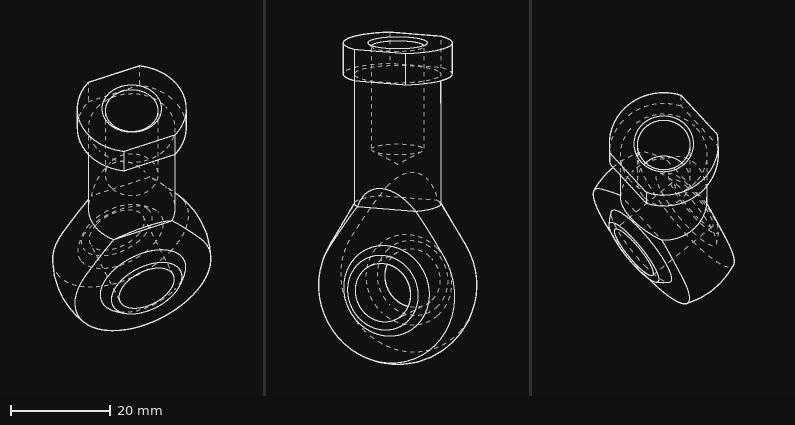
import cadquery as cq
import math

total_height = 66.0
head_diameter = 32.0
head_thickness = 12.0
neck_angle = math.radians(30)
shank_diameter = 17.5
collar_diameter = 22.05
collar_height = 6.5
collar_flats = 19.0
ball_diameter = 22.2
ball_width = 16.0
pin_bore_diameter = 12.0
thread_bore_diameter = 10.6
thread_bore_depth = 22.0
thread_mouth_diameter = 12.0
drill_tip_angle = math.radians(120)
side_clearance = 0.65

head_radius = head_diameter / 2
shank_radius = shank_diameter / 2
head_center_z = head_radius
half_thickness = head_thickness / 2

tangent_radius = head_radius * math.cos(neck_angle)
tangent_z = head_center_z + head_radius * math.sin(neck_angle)
neck_top_z = tangent_z + (tangent_radius - shank_radius) / math.tan(neck_angle)


def make_turned_body():
    """Sphere, neck cone and shank, revolved about the Z axis."""
    return (
        cq.Workplane("XZ")
        .moveTo(0, 0)
        .threePointArc((head_radius, head_center_z), (tangent_radius, tangent_z))
        .lineTo(shank_radius, neck_top_z)
        .lineTo(shank_radius, total_height)
        .lineTo(0, total_height)
        .close()
        .revolve(360, (0, 0, 0), (0, 1, 0))
    )


def make_side_cutter():
    """Block beside the +X face of the eye, ending above in the sloped shoulder."""
    outer_x = head_radius + side_clearance
    shoulder_end_z = neck_top_z + (outer_x - half_thickness) / math.tan(neck_angle)
    return (
        cq.Workplane("XZ")
        .moveTo(half_thickness, -side_clearance)
        .lineTo(half_thickness, neck_top_z)
        .lineTo(outer_x, shoulder_end_z)
        .lineTo(outer_x, -side_clearance)
        .close()
        .extrude(outer_x, both=True)
    )


def make_collar():
    """Round collar at the open end with two wrench flats facing X."""
    disc = cq.Workplane("XY").circle(collar_diameter / 2).extrude(collar_height)
    flats = cq.Workplane("XY").rect(collar_flats, collar_diameter).extrude(collar_height)
    return disc.intersect(flats).translate((0, 0, total_height - collar_height))


def make_ball():
    """Spherical bearing ring around the X axis, cut flat at both ends and bored through."""
    end_x = ball_width / 2
    bore_radius = pin_bore_diameter / 2
    end_radius = math.sqrt((ball_diameter / 2) ** 2 - end_x**2)
    return (
        cq.Workplane("XY")
        .moveTo(-end_x, bore_radius)
        .lineTo(-end_x, end_radius)
        .threePointArc((0, ball_diameter / 2), (end_x, end_radius))
        .lineTo(end_x, bore_radius)
        .close()
        .revolve(360, (0, 0, 0), (1, 0, 0))
        .translate((0, 0, head_center_z))
    )


def make_pin_bore():
    """Through hole of the eye and the ball."""
    return (
        cq.Workplane("YZ")
        .center(0, head_center_z)
        .circle(pin_bore_diameter / 2)
        .extrude(ball_width, both=True)
    )


def make_thread_bore():
    """Blind bore from the top with a 45 degree mouth chamfer and a conical drill tip."""
    bore_radius = thread_bore_diameter / 2
    mouth_radius = thread_mouth_diameter / 2
    chamfer_depth = mouth_radius - bore_radius
    bottom_z = total_height - thread_bore_depth
    tip_z = bottom_z - bore_radius / math.tan(drill_tip_angle / 2)
    return (
        cq.Workplane("XZ")
        .moveTo(0, tip_z)
        .lineTo(bore_radius, bottom_z)
        .lineTo(bore_radius, total_height - chamfer_depth)
        .lineTo(mouth_radius, total_height)
        .lineTo(0, total_height)
        .close()
        .revolve(360, (0, 0, 0), (0, 1, 0))
    )


side_cutter = make_side_cutter()
housing = make_turned_body().cut(side_cutter).cut(side_cutter.mirror("YZ")).union(make_collar())
result = housing.cut(make_thread_bore()).cut(make_pin_bore()).union(make_ball())